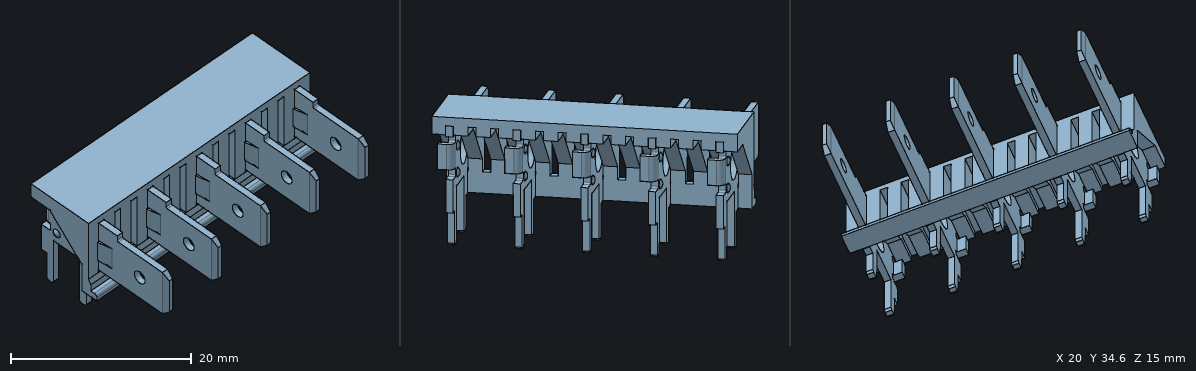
import cadquery as cq
import math


housing_length = 34.6
housing_depth = 9.05
housing_top = 11.05
housing_bottom = 0.1
ceiling_z = 9.0
wall_inner_x = 8.0
gusset_start_x = 2.98
gusset_end_z = 4.1

foot_x = 10.38
foot_height = 0.9
foot_radius = 0.4
step_depth = 0.35
step_height = 1.85
step_slope = 0.62

terminal_count = 5
terminal_pitch = 7.65
slots_per_pitch = 3
slot_count = slots_per_pitch * (terminal_count - 1) + 1
slot_pitch = terminal_pitch / slots_per_pitch
slot_width = 0.9
slot_top = 10.05
slot_bottom = 2.6

thickness = 0.83
front_face_y = -thickness / 2
back_face_y = thickness / 2
large_hole_x = 5.95
large_hole_diameter = 4.0

tab_end_x = 20.0
tab_center_z = 6.05
tab_width = 6.3
tab_top = tab_center_z + tab_width / 2
tab_bottom = tab_center_z - tab_width / 2
tab_shoulder_x = 11.97
tab_shoulder_radius = 0.17
tip_length = 0.95
tip_corner_height = 0.75
tip_thickness = 0.55
tab_hole_x = 15.5
tab_hole_diameter = 1.65

pin_tip_z = -3.98
pin_chamfer = 0.25
pin_fork_z = 2.6
front_pin_x = (0.9, 1.95)
rear_pin_x = (6.0, 7.13)

ear_bottom = 4.85
ear_top = 7.8
ear_x = 0.35
ear_reach = 1.05
notch_depth = 1.5
notch_height = 1.0
notch_radius = 0.2

dimple_x = 2.45
dimple_z = (4.05, 7.15)
dimple_diameter = 1.1
dimple_height = 0.28

barb_start_x = 9.17
barb_end_x = 11.1
barb_height = 0.3
barb_center_z = 6.02
barb_start_width = 2.7
barb_end_width = 3.05


def extrude_along_y(sketch, y_from, y_to):
    """Extrude an XZ outline from y_from up to y_to."""
    return sketch.extrude(y_from - y_to).translate((0, y_from, 0))


def cylinder_along_y(x, z, diameter):
    """Cutter through the full thickness of a terminal."""
    sketch = cq.Workplane("XZ").center(x, z).circle(diameter / 2)
    return extrude_along_y(sketch, front_face_y, back_face_y)


def make_housing():
    foot_top = housing_bottom + foot_height
    step_x = housing_depth + step_depth
    step_top = housing_bottom + step_height
    profile = (
        cq.Workplane("XZ")
        .moveTo(0, housing_top)
        .lineTo(housing_depth, housing_top)
        .lineTo(housing_depth, step_top + step_slope)
        .lineTo(step_x, step_top)
        .lineTo(step_x, foot_top)
        .lineTo(foot_x - foot_radius, foot_top)
        .radiusArc((foot_x, foot_top - foot_radius), foot_radius)
        .lineTo(foot_x, housing_bottom)
        .lineTo(wall_inner_x, housing_bottom)
        .lineTo(wall_inner_x, gusset_end_z)
        .lineTo(gusset_start_x, ceiling_z)
        .lineTo(0, ceiling_z)
        .close()
    )
    body = extrude_along_y(profile, -housing_length / 2, housing_length / 2)
    slots = (
        cq.Workplane("XY")
        .workplane(offset=slot_bottom)
        .center(housing_depth / 2, 0)
        .rarray(0.35, slot_pitch, 1, slot_count)
        .rect(housing_depth, slot_width)
        .extrude(slot_top - slot_bottom)
    )
    return body.cut(slots)


def make_plate():
    """Flat blank of a terminal: body, tab and the two solder pins."""
    profile = (
        cq.Workplane("XZ")
        .moveTo(0, slot_top)
        .lineTo(tab_shoulder_x, slot_top)
        .lineTo(tab_shoulder_x, tab_top + tab_shoulder_radius)
        .radiusArc((tab_shoulder_x + tab_shoulder_radius, tab_top), -tab_shoulder_radius)
        .lineTo(tab_end_x - tip_length, tab_top)
        .lineTo(tab_end_x, tab_top - tip_corner_height)
        .lineTo(tab_end_x, tab_bottom + tip_corner_height)
        .lineTo(tab_end_x - tip_length, tab_bottom)
        .lineTo(wall_inner_x, tab_bottom)
        .lineTo(wall_inner_x, 0)
        .lineTo(0, 0)
        .close()
    )
    plate = extrude_along_y(profile, front_face_y, back_face_y)
    fork = cq.Workplane("XY").box(
        rear_pin_x[0] - front_pin_x[1], thickness, pin_fork_z, centered=(False, True, False)
    )
    plate = plate.cut(fork.translate((front_pin_x[1], 0, 0)))
    for left, right in (front_pin_x, rear_pin_x):
        pin = (
            cq.Workplane("XY")
            .box(right - left, thickness, -pin_tip_z, centered=(False, True, False))
            .faces("<Z").edges("|Y").chamfer(pin_chamfer)
        )
        plate = plate.union(pin.translate((left, 0, pin_tip_z)))
    return plate


def make_tip_bevels():
    """Cutters that thin the end of the tab on both faces."""
    bevel = (
        cq.Workplane("XY")
        .workplane(offset=tab_bottom)
        .moveTo(tab_end_x - tip_length, back_face_y)
        .lineTo(tab_end_x, back_face_y)
        .lineTo(tab_end_x, tip_thickness / 2)
        .close()
        .extrude(tab_width)
    )
    return bevel.union(bevel.mirror("XZ"))


def make_notch(bottom):
    """Cutter for a notch in the open edge, rounded at its inner corners."""
    notch = cq.Workplane("XY").box(notch_depth, thickness, notch_height, centered=(False, True, False))
    return notch.faces(">X").edges("|Y").fillet(notch_radius).translate((0, 0, bottom))


def make_ear():
    """Ear bent towards +Y, with an outer bend radius of one plate thickness."""
    ear_tip_y = back_face_y + ear_reach
    return (
        cq.Workplane("XY")
        .workplane(offset=ear_bottom)
        .moveTo(notch_depth, front_face_y)
        .lineTo(ear_x + thickness, front_face_y)
        .radiusArc((ear_x, back_face_y), thickness)
        .lineTo(ear_x, ear_tip_y)
        .lineTo(ear_x + thickness, ear_tip_y)
        .lineTo(ear_x + thickness, back_face_y)
        .lineTo(notch_depth, back_face_y)
        .close()
        .extrude(ear_top - ear_bottom)
    )


def make_dimple(z):
    """Spherical cap standing out of the -Y face."""
    base_radius = dimple_diameter / 2
    sphere_radius = (base_radius**2 + dimple_height**2) / (2 * dimple_height)
    center_y = front_face_y - dimple_height + sphere_radius
    cap_angle = math.degrees(math.asin(base_radius / sphere_radius))
    cap = cq.Solid.makeSphere(sphere_radius, angleDegrees1=90 - cap_angle, angleDegrees2=90)
    cap = cap.rotate(cq.Vector(0, 0, 0), cq.Vector(1, 0, 0), 90)
    return cap.translate(cq.Vector(dimple_x, center_y, z))


def make_barb():
    """Wedge that rises from the -Y face towards the housing wall."""
    half_start = barb_start_width / 2
    half_end = barb_end_width / 2
    outline = cq.Workplane("XZ").polyline([
        (barb_start_x, barb_center_z - half_start),
        (barb_end_x, barb_center_z - half_end),
        (barb_end_x, barb_center_z + half_end),
        (barb_start_x, barb_center_z + half_start),
    ]).close()
    block = extrude_along_y(outline, front_face_y - barb_height, front_face_y)
    wedge = (
        cq.Workplane("XY")
        .workplane(offset=barb_center_z - half_end)
        .moveTo(barb_start_x, front_face_y)
        .lineTo(barb_end_x, front_face_y)
        .lineTo(barb_start_x, front_face_y - barb_height)
        .close()
        .extrude(barb_end_width)
    )
    return block.intersect(wedge)


def make_terminal():
    terminal = make_plate().cut(make_tip_bevels())
    terminal = terminal.cut(cylinder_along_y(large_hole_x, tab_center_z, large_hole_diameter))
    terminal = terminal.cut(cylinder_along_y(tab_hole_x, tab_center_z, tab_hole_diameter))
    ear_gap = cq.Workplane("XY").box(
        notch_depth, thickness, ear_top - ear_bottom, centered=(False, True, False)
    )
    terminal = terminal.cut(ear_gap.translate((0, 0, ear_bottom)))
    terminal = terminal.cut(make_notch(ear_top))
    terminal = terminal.cut(make_notch(ear_bottom - notch_height))
    terminal = terminal.union(make_ear()).union(make_barb())
    for z in dimple_z:
        terminal = terminal.union(cq.Workplane(obj=make_dimple(z)))
    return terminal


housing = make_housing().solids()

terminals = []
for index in range(terminal_count):
    terminal_y = (index - (terminal_count - 1) / 2) * terminal_pitch
    terminal = make_terminal().translate((0, terminal_y, 0))
    terminals.append(terminal.solids().val())

result = cq.Compound.makeCompound([housing.val(), *terminals])